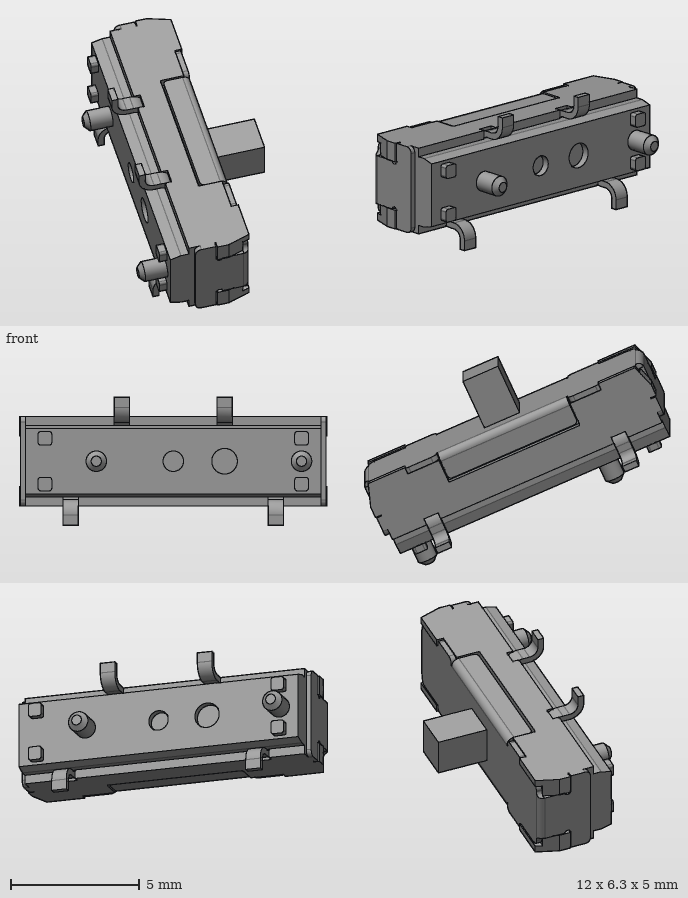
import cadquery as cq


BASE_TAPER_Y = 0.43
SHELL_BOTTOM_Y = 0.75
SKIRT_BOTTOM_Y = 0.97
SLIT_Y = 1.8
SLIT_HEIGHT = 0.04
WING_SLOPE_Y = 2.3
PLATE_TOP_Y = 3.15
WALL_TOP_Y = 3.2
KNOB_TOP_Y = 5.2
PLATE_THICKNESS = 0.23
CORE_TOP_Y = PLATE_TOP_Y - PLATE_THICKNESS

CORE_X = 5.76
SKIRT_X = 5.96
WING_X = 6.0
WING_TOP_X = 5.7
CORE_Z = 1.75
SIDE_WALL_Z = 1.46
TONGUE_Z = 0.985
BASE_Z = 1.4
BASE_FACE_Z = 1.28
PLATE_X = 5.7
NOTCH_X = 4.13

FLAP_X = 2.76
FLAP_Z = 1.71
FLAP_BOTTOM_Y = 2.06
FLAP_BEND = 0.3
FLAP_CORNER = 0.17
FLAP_GAP_CORNER = 0.05
FLAP_SIDE_GAP = 0.04
FLAP_END_GAP = 0.1
FLAP_ROOT_Z = FLAP_Z - FLAP_BEND

EAR_INNER_X = FLAP_X + FLAP_SIDE_GAP
EAR_OUTER_X = 4.23
EAR_Z = FLAP_Z
EAR_CORNER = 0.24

END_BEND = 0.25
SKIRT_CORNER = 0.23
PLATE_OUTER_CORNER = 0.24
PLATE_INNER_CORNER = 0.21
RELIEF_RADIUS = 0.11
RELIEF_Y = 1.94

TERMINAL_WIDTH = 0.6
TERMINAL_THICKNESS = 0.25
TERMINAL_TIP_Z = 2.5
TERMINAL_BEND_Y = 0.3
TERMINAL_BEND_Z = 2.1
TERMINAL_INNER_BEND = TERMINAL_BEND_Z - CORE_Z
TERMINAL_OUTER_BEND = TERMINAL_INNER_BEND + TERMINAL_THICKNESS
TERMINAL_CRANK_Y = 0.58
TERMINAL_ROOT_Y = 1.01
UPPER_TERMINAL_X = (-2.0, 2.0)
LOWER_TERMINAL_X = (-4.0, 4.0)

PIN_X = (-3.0, 5.0)
PIN_DIAMETER = 0.8
PIN_LENGTH = 1.1
PIN_CHAMFER = 0.2
FOOT_X = 5.0
FOOT_Z = 0.89
FOOT_SIZE = 0.53
FOOT_HEIGHT = 0.3
FOOT_CORNER = 0.1
HOLES = ((0.0, 0.8), (2.0, 1.0))
HOLE_DEPTH = 0.3

KNOB_SIZE = 1.5

SIGNS = (-1, 1)


def block(x_range, y_range, z_range):
    """Box between two X, two Y and two Z positions, each pair in any order."""
    spans = [sorted(pair) for pair in (x_range, y_range, z_range)]
    size = [high - low for low, high in spans]
    corner = tuple(low for low, high in spans)
    return cq.Workplane("XY").box(*size, centered=False).translate(corner)


def both(half):
    """Symmetric range about zero."""
    return (-half, half)


def make_core():
    """Base with tapered sides, and the plain block of the shell on it."""
    upper_half = [(0, BASE_FACE_Z), (BASE_TAPER_Y, BASE_Z), (SHELL_BOTTOM_Y, BASE_Z)]
    lower_half = [(y, -z) for y, z in reversed(upper_half)]
    base = cq.Workplane("YZ").polyline(upper_half + lower_half).close().extrude(CORE_X, both=True)
    shell = block(both(CORE_X), (SHELL_BOTTOM_Y, CORE_TOP_Y), both(CORE_Z))
    return base.union(shell)


def make_side_wall(side):
    """End wings with sloped ends, and the thin tabs above them, on one Z side."""
    outline = (
        cq.Workplane("XY")
        .moveTo(-WING_X, SLIT_Y + SLIT_HEIGHT)
        .lineTo(-WING_X, WING_SLOPE_Y)
        .lineTo(-WING_TOP_X, WALL_TOP_Y)
        .lineTo(WING_TOP_X, WALL_TOP_Y)
        .lineTo(WING_X, WING_SLOPE_Y)
        .lineTo(WING_X, SLIT_Y + SLIT_HEIGHT)
        .close()
    )
    wings = outline.extrude(CORE_Z - TONGUE_Z).translate((0, 0, TONGUE_Z))
    wings = wings.cut(block(both(WING_X), (CORE_TOP_Y, WALL_TOP_Y), (0, SIDE_WALL_Z)))
    wings = wings.cut(block(both(NOTCH_X), (CORE_TOP_Y, WALL_TOP_Y), (0, CORE_Z)))
    return wings if side > 0 else wings.mirror("XY")


def make_top_plate():
    y_range = (CORE_TOP_Y, PLATE_TOP_Y)
    plate = block(both(PLATE_X), y_range, both(SIDE_WALL_Z))
    plate = plate.edges("|Y").fillet(PLATE_OUTER_CORNER)
    for end in SIGNS:
        for side in SIGNS:
            plate = plate.union(make_inner_corner(end, side))
    return plate


def make_ears(side):
    """Two round-cornered ears of the top plate, beside the flap on one Z side."""
    y_range = (CORE_TOP_Y, PLATE_TOP_Y)
    outer_edges = "|Y and >Z" if side > 0 else "|Y and <Z"
    ears = cq.Workplane("XY")
    for end in SIGNS:
        ear = block((end * EAR_INNER_X, end * EAR_OUTER_X), y_range, (0, side * EAR_Z))
        ears = ears.add(ear.edges(outer_edges).fillet(EAR_CORNER))
    return ears.combine()


def make_inner_corner(end, side):
    """Concave blend between an end tongue and the wide part of the top plate."""
    radius = PLATE_INNER_CORNER
    y_range = (CORE_TOP_Y, PLATE_TOP_Y)
    corner = block(
        (end * PLATE_X, end * (PLATE_X + radius)), y_range, (side * TONGUE_Z, side * (TONGUE_Z + radius))
    )
    rounding = (
        cq.Workplane("XZ", origin=(0, PLATE_TOP_Y, 0))
        .center(end * (PLATE_X + radius), side * (TONGUE_Z + radius))
        .circle(radius)
        .extrude(PLATE_THICKNESS)
    )
    bend = block(both(SKIRT_X), (0, PLATE_TOP_Y), both(CORE_Z)).edges("|Z and >Y").fillet(END_BEND)
    return corner.cut(rounding).intersect(bend)


def make_end_skirts():
    """Tongue along the whole top that bends down into a wide skirt at each end."""
    tongue = block(both(SKIRT_X), (SLIT_Y, PLATE_TOP_Y), both(TONGUE_Z))
    tongue = tongue.edges("|Z and >Y").fillet(END_BEND)
    skirt = block(both(SKIRT_X), (SKIRT_BOTTOM_Y, SLIT_Y), both(CORE_Z))
    skirt = skirt.edges("|X and <Y").fillet(SKIRT_CORNER)
    return tongue.union(skirt)


def make_reliefs():
    """Round bend reliefs where the slits meet the tongues."""
    reliefs = cq.Workplane("XY")
    for end in SIGNS:
        for side in SIGNS:
            relief = (
                cq.Workplane("YZ", origin=(end * CORE_X, 0, 0))
                .center(RELIEF_Y, side * TONGUE_Z)
                .circle(RELIEF_RADIUS)
                .extrude(end * (SKIRT_X - CORE_X))
            )
            wing_side = block(both(WING_X), (0, WALL_TOP_Y), (side * TONGUE_Z, side * CORE_Z))
            reliefs = reliefs.add(relief.cut(wing_side))
    return reliefs.combine()


def make_flap_opening(side):
    """Pocket in one side that leaves a U-shaped gap around the flap."""
    opening = block(
        both(FLAP_X + FLAP_SIDE_GAP),
        (FLAP_BOTTOM_Y - FLAP_END_GAP, PLATE_TOP_Y),
        (side * FLAP_ROOT_Z, side * CORE_Z),
    )
    return opening.edges("|Z and <Y").fillet(FLAP_GAP_CORNER)


def make_flap(side):
    """Side flap, bent down from the top plate with a round bend."""
    flap = block(both(FLAP_X), (FLAP_BOTTOM_Y, PLATE_TOP_Y), (0, side * FLAP_Z))
    flap = flap.edges("|Z and <Y").fillet(FLAP_CORNER)
    bend_edge = "|X and >Y and >Z" if side > 0 else "|X and >Y and <Z"
    return flap.edges(bend_edge).fillet(FLAP_BEND)


def make_terminal(x, side):
    """Terminal bent outwards at its tip and inwards, into the shell, at its root."""
    crank_end_y = TERMINAL_CRANK_Y + TERMINAL_OUTER_BEND
    inner_crank_end_y = TERMINAL_CRANK_Y + TERMINAL_INNER_BEND
    outline = (
        cq.Workplane("YZ")
        .moveTo(crank_end_y, CORE_Z - TERMINAL_OUTER_BEND)
        .radiusArc((TERMINAL_CRANK_Y, CORE_Z), -TERMINAL_OUTER_BEND)
        .lineTo(TERMINAL_BEND_Y, CORE_Z)
        .radiusArc((TERMINAL_BEND_Y - TERMINAL_INNER_BEND, TERMINAL_BEND_Z), TERMINAL_INNER_BEND)
        .lineTo(TERMINAL_BEND_Y - TERMINAL_INNER_BEND, TERMINAL_TIP_Z)
        .lineTo(TERMINAL_BEND_Y - TERMINAL_OUTER_BEND, TERMINAL_TIP_Z)
        .lineTo(TERMINAL_BEND_Y - TERMINAL_OUTER_BEND, TERMINAL_BEND_Z)
        .radiusArc((TERMINAL_BEND_Y, CORE_Z - TERMINAL_THICKNESS), -TERMINAL_OUTER_BEND)
        .lineTo(TERMINAL_CRANK_Y, CORE_Z - TERMINAL_THICKNESS)
        .radiusArc((inner_crank_end_y, CORE_Z - TERMINAL_OUTER_BEND), TERMINAL_INNER_BEND)
        .close()
    )
    terminal = outline.extrude(TERMINAL_WIDTH / 2, both=True).translate((x, 0, 0))
    return terminal if side > 0 else terminal.mirror("XY")


def make_terminal_slot(x, side):
    return block(
        (x - TERMINAL_WIDTH / 2, x + TERMINAL_WIDTH / 2),
        (SHELL_BOTTOM_Y, TERMINAL_ROOT_Y),
        (side * BASE_Z, side * CORE_Z),
    )


def make_pin(x):
    pin = cq.Workplane("XZ", origin=(x, 0, 0)).circle(PIN_DIAMETER / 2).extrude(PIN_LENGTH)
    return pin.faces("<Y").chamfer(PIN_CHAMFER)


def make_foot(x, z):
    foot = cq.Workplane("XZ", origin=(x, 0, z)).rect(FOOT_SIZE, FOOT_SIZE).extrude(FOOT_HEIGHT)
    return foot.edges("|Y").fillet(FOOT_CORNER)


def make_hole(x, diameter):
    return cq.Workplane("XZ", origin=(x, 0, 0)).circle(diameter / 2).extrude(-HOLE_DEPTH)


def make_housing():
    housing = make_core().union(make_top_plate()).union(make_end_skirts())
    for side in SIGNS:
        housing = housing.union(make_side_wall(side))
        housing = housing.cut(make_flap_opening(side)).union(make_flap(side))
        housing = housing.union(make_ears(side))
    housing = housing.cut(make_reliefs())

    for side, positions in ((1, UPPER_TERMINAL_X), (-1, LOWER_TERMINAL_X)):
        for x in positions:
            housing = housing.cut(make_terminal_slot(x, side)).union(make_terminal(x, side))

    for x in PIN_X:
        housing = housing.union(make_pin(x))
    for x in both(FOOT_X):
        for z in both(FOOT_Z):
            housing = housing.union(make_foot(x, z))
    for x, diameter in HOLES:
        housing = housing.cut(make_hole(x, diameter))
    return housing


def make_knob():
    return block(both(KNOB_SIZE / 2), (PLATE_TOP_Y, KNOB_TOP_Y), both(KNOB_SIZE / 2))


housing = make_housing()
knob = make_knob()

result = cq.Compound.makeCompound([housing.solids().val(), knob.val()])